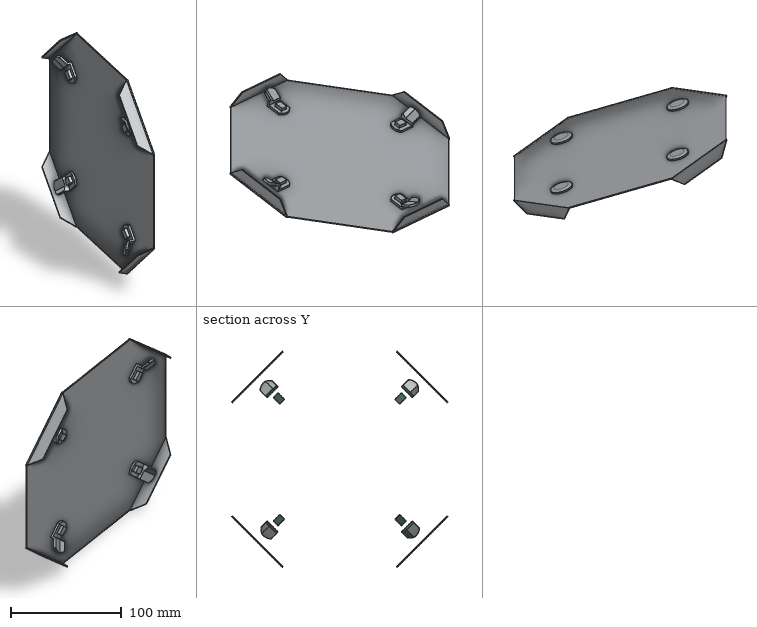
import cadquery as cq
import math

overall = 201.33
sheet = 1.0
panel_half = overall / 2 - sheet / math.sqrt(2)
corner_offset = 48.0
flange_height = 13.0
flange_taper = flange_height - sheet
flange_length = math.sqrt(2) * (panel_half - corner_offset)
flange_distance = (panel_half + corner_offset) / math.sqrt(2)

latch_distance = 77.6
panel_gap = 0.5
latch_count = 4
latch_angles = [45 + 360 / latch_count * i for i in range(latch_count)]

knob_radius = 10.15
knob_flat_radius = 6.65
knob_thickness = 2.7
knob_edge_drop = 1.2
stem_length = 8.4
stem_width = 6.1
stem_tip = 3.0

clip_width = 14.0
half_width = clip_width / 2
clip_end_radius = 9.3
clip_end_sagitta = clip_end_radius - math.sqrt(clip_end_radius**2 - half_width**2)
clip_start = 69.5
foot_bottom = sheet + panel_gap
foot_thickness = 2.1
foot_top = foot_bottom + foot_thickness
foot_end = 87.5
stem_top = foot_top + stem_tip
tab_start = 85.65
tab_step = 1.5
tab_thickness = 2.2
tab_slope = math.radians(30)
tab_length = 11.56
fold_position = 1.8
fold_angle = math.radians(30)
lower_fold = fold_position + tab_thickness * math.tan(fold_angle / 2)
tab_direction = (math.cos(tab_slope), 0, math.sin(tab_slope))
tab_normal = (-math.sin(tab_slope), 0, math.cos(tab_slope))


def place(body, angle):
    """Turn a body from local axes (outward, sideways, forward) to its corner."""
    return body.rotate((0, 0, 0), (1, 0, 0), 90).rotate((0, 0, 0), (0, 1, 0), angle)


def stem_prism(bottom, top):
    return (
        cq.Workplane("XY")
        .workplane(offset=bottom)
        .center(latch_distance, 0)
        .rect(stem_length, stem_width)
        .extrude(top - bottom)
    )


def make_flange():
    half = flange_length / 2
    return (
        cq.Workplane("YZ")
        .workplane(offset=flange_distance)
        .moveTo(-half, 0)
        .lineTo(half, 0)
        .lineTo(half, sheet)
        .lineTo(half - flange_taper, flange_height)
        .lineTo(-half + flange_taper, flange_height)
        .lineTo(-half, sheet)
        .close()
        .extrude(sheet)
    )


def make_panel():
    corner_cut = panel_half - corner_offset
    blank = (
        cq.Workplane("XY")
        .rect(2 * panel_half, 2 * panel_half)
        .extrude(sheet)
        .edges("|Z")
        .chamfer(corner_cut)
    )
    panel = place(blank, 0)
    for angle in latch_angles:
        panel = panel.union(place(make_flange(), angle))
        panel = panel.cut(place(stem_prism(0, sheet), angle))
    return panel


def make_knob():
    back = -panel_gap - knob_thickness
    edge = back + knob_edge_drop
    run = knob_radius - knob_flat_radius
    arc_radius = (run**2 + knob_edge_drop**2) / (2 * knob_edge_drop)
    half_sweep = math.asin(run / arc_radius) / 2
    arc_middle = (
        knob_flat_radius + arc_radius * math.sin(half_sweep),
        back + arc_radius * (1 - math.cos(half_sweep)),
    )
    disc = (
        cq.Workplane("XZ")
        .moveTo(0, -panel_gap)
        .lineTo(knob_radius, -panel_gap)
        .lineTo(knob_radius, edge)
        .threePointArc(arc_middle, (knob_flat_radius, back))
        .lineTo(0, back)
        .close()
        .revolve(360, (0, 0, 0), (0, 1, 0))
        .translate((latch_distance, 0, 0))
    )
    return disc.union(stem_prism(-panel_gap, stem_top))


def make_foot():
    shoulder = clip_start + clip_end_sagitta
    foot = (
        cq.Workplane("XY")
        .workplane(offset=foot_bottom)
        .moveTo(foot_end, -half_width)
        .lineTo(foot_end, half_width)
        .lineTo(shoulder, half_width)
        .threePointArc((clip_start, 0), (shoulder, -half_width))
        .close()
        .extrude(foot_thickness)
    )
    return foot.cut(stem_prism(foot_bottom, foot_top))


def tab_plane(x_direction, normal):
    """Plane at the middle of the flat leaf's lower face, straight above the end of the foot."""
    return cq.Plane(origin=(foot_end, 0, foot_top + tab_step), xDir=x_direction, normal=normal)


def tab_prism(underside):
    """Prism along the tab: a flat leaf and a folded side leaf above the given underside points."""
    rise = math.tan(fold_angle)
    upper_edge = half_width - tab_thickness * math.sin(fold_angle)
    return (
        cq.Workplane(tab_plane((0, 1, 0), tab_direction))
        .polyline(underside)
        .lineTo(half_width, (half_width - lower_fold) * rise)
        .lineTo(upper_edge, tab_thickness + (upper_edge - fold_position) * rise)
        .lineTo(fold_position, tab_thickness)
        .lineTo(-half_width, tab_thickness)
        .close()
        .extrude(2 * tab_length, both=True)
    )


def block_from_wall(length):
    """Block standing on the foot, reaching outward from the tab's upright inner wall."""
    return (
        cq.Workplane("XY")
        .box(length, 2 * clip_width, 2 * clip_width, centered=(False, True, False))
        .translate((tab_start, 0, foot_top))
    )


def make_tab():
    shoulder = tab_length - clip_end_sagitta
    outline = (
        cq.Workplane(tab_plane(tab_direction, tab_normal))
        .moveTo(-tab_length, -half_width)
        .lineTo(shoulder, -half_width)
        .threePointArc((tab_length, 0), (shoulder, half_width))
        .lineTo(-tab_length, half_width)
        .close()
        .extrude(clip_width)
    )
    leaves = tab_prism([(-half_width, 0), (lower_fold, 0)])
    return leaves.intersect(outline).intersect(block_from_wall(2 * clip_width))


def make_root():
    """Solid base that joins the tab to the end of the foot."""
    filled = tab_prism([(-half_width, -clip_width), (half_width, -clip_width)])
    return filled.intersect(block_from_wall(foot_end - tab_start))


def make_clip():
    return make_foot().union(make_root()).union(make_tab()).clean()


panel = make_panel()
knobs = [place(make_knob(), angle) for angle in latch_angles]
clips = [place(make_clip(), angle) for angle in latch_angles]

result = cq.Compound.makeCompound(
    [
        panel.val(),
        *[knob.val() for knob in knobs],
        *[clip.val() for clip in clips],
    ]
)